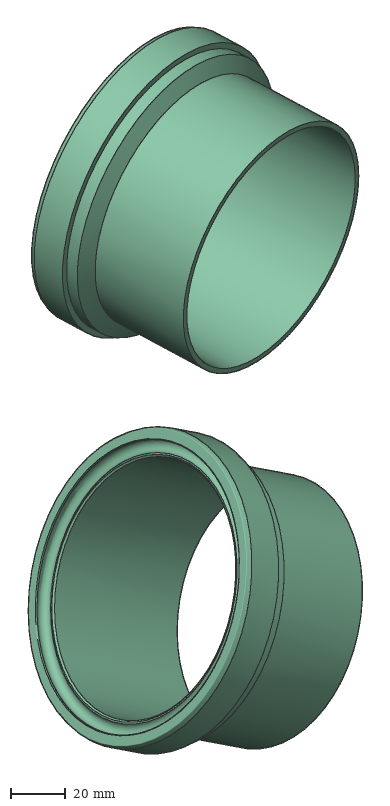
import cadquery as cq

length = 65.0
flange_end = 15.2
shoulder_end = 20.2
cone_end = 23.5

flange_radius = 118.9 / 2
shoulder_radius = 114.0 / 2
tube_radius = 101.5 / 2
bore_radius = 97.4 / 2

bevel_length = 1.9
bevel_height = 0.7

groove_outer_radius = 53.9
groove_inner_radius = 50.0
groove_depth = 4.8
lip_setback = 3.2
lip_chamfer = 0.7

face_edge_radius = 0.4

groove_mid_radius = (groove_outer_radius + groove_inner_radius) / 2

profile = (
    cq.Workplane("XY")
    .moveTo(0, groove_outer_radius)
    .lineTo(0, flange_radius - bevel_height)
    .lineTo(bevel_length, flange_radius)
    .lineTo(flange_end, flange_radius)
    .lineTo(flange_end, shoulder_radius)
    .lineTo(shoulder_end, shoulder_radius)
    .lineTo(cone_end, tube_radius)
    .lineTo(length, tube_radius)
    .lineTo(length, bore_radius)
    .lineTo(lip_setback + lip_chamfer, bore_radius)
    .lineTo(lip_setback, bore_radius + lip_chamfer)
    .lineTo(lip_setback, groove_inner_radius)
    .threePointArc((groove_depth, groove_mid_radius), (0, groove_outer_radius))
    .close()
)

body = profile.revolve(360, (0, 0, 0), (1, 0, 0))
result = body.faces("<X").edges().fillet(face_edge_radius)